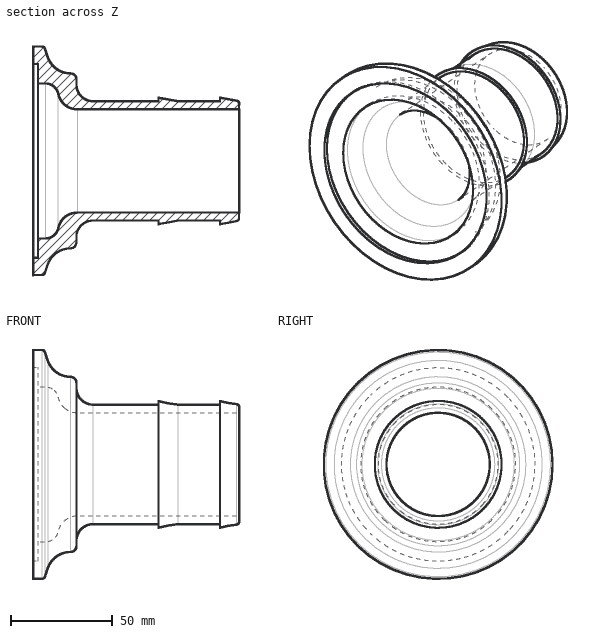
import cadquery as cq
import math


length = 101.6
flange_radius = 112.8 / 2
bore_radius = 50.8 / 2

rim_width = 4.4
rim_fillet = 1.6
cove_radius = 11.7

hub_end = 21.4
hub_radius = 43.2
hub_fillet = 3.0
neck_fillet = 8.0

barrel_radius = 59.0 / 2
barb_radius = 31.2
barb_length = 9.6
first_barb_start = 61.7
tip_fillet = 1.9

recess_radius = 95.3 / 2
recess_depth = 2.4
mouth_radius = 76.2 / 2
mouth_end = 6.2
mouth_fillet = 6.3
throat_fillet = 9.6


def on_circle(center, radius, degrees):
    """Point (x, radial distance) on a circle in the half section."""
    angle = math.radians(degrees)
    return (center[0] + radius * math.cos(angle), center[1] + radius * math.sin(angle))


hub_fillet_center = (hub_end - hub_fillet, hub_radius - hub_fillet)
cove_center = (hub_fillet_center[0], hub_radius + cove_radius)

rim_center = (rim_width, flange_radius - rim_fillet)
cove_run = cove_center[0] - rim_center[0]
cove_rise = cove_center[1] - rim_center[1]
slope_angle = math.degrees(
    math.atan2(cove_rise, cove_run)
    + math.acos((rim_fillet + cove_radius) / math.hypot(cove_run, cove_rise))
)
cove_start_angle = 180 + slope_angle

neck_center = (hub_end + neck_fillet, barrel_radius + neck_fillet)

mouth_center = (mouth_end, mouth_radius - mouth_fillet)
throat_rise = bore_radius + throat_fillet - mouth_center[1]
throat_run = math.sqrt((mouth_fillet + throat_fillet) ** 2 - throat_rise**2)
throat_center = (mouth_end + throat_run, bore_radius + throat_fillet)
tangent_angle = math.degrees(math.atan2(throat_rise, throat_run))


def outer_half_section():
    """Solid half section from the axis to the outside, without the tip fillet."""
    last_barb_start = length - barb_length
    return (
        cq.Workplane("XY")
        .moveTo(0, 0)
        .lineTo(0, flange_radius)
        .lineTo(rim_width, flange_radius)
        .threePointArc(
            on_circle(rim_center, rim_fillet, (90 + slope_angle) / 2),
            on_circle(rim_center, rim_fillet, slope_angle),
        )
        .lineTo(*on_circle(cove_center, cove_radius, cove_start_angle))
        .threePointArc(
            on_circle(cove_center, cove_radius, (cove_start_angle + 270) / 2),
            on_circle(cove_center, cove_radius, 270),
        )
        .threePointArc(
            on_circle(hub_fillet_center, hub_fillet, 45),
            on_circle(hub_fillet_center, hub_fillet, 0),
        )
        .lineTo(hub_end, neck_center[1])
        .threePointArc(
            on_circle(neck_center, neck_fillet, 225),
            on_circle(neck_center, neck_fillet, 270),
        )
        .lineTo(first_barb_start, barrel_radius)
        .lineTo(first_barb_start, barb_radius)
        .lineTo(first_barb_start + barb_length, barrel_radius)
        .lineTo(last_barb_start, barrel_radius)
        .lineTo(last_barb_start, barb_radius)
        .lineTo(length, barrel_radius)
        .lineTo(length, 0)
        .close()
    )


def passage_half_section():
    """Half section of the recess, flared mouth and straight bore."""
    return (
        cq.Workplane("XY")
        .moveTo(0, 0)
        .lineTo(0, recess_radius)
        .lineTo(recess_depth, recess_radius)
        .lineTo(recess_depth, mouth_radius)
        .lineTo(mouth_end, mouth_radius)
        .threePointArc(
            on_circle(mouth_center, mouth_fillet, (90 + tangent_angle) / 2),
            on_circle(mouth_center, mouth_fillet, tangent_angle),
        )
        .threePointArc(
            on_circle(throat_center, throat_fillet, (180 + tangent_angle + 270) / 2),
            on_circle(throat_center, throat_fillet, 270),
        )
        .lineTo(length, bore_radius)
        .lineTo(length, 0)
        .close()
    )


def turned(half_section):
    """Full revolution of a half section about the X axis."""
    return half_section.revolve(360, (0, 0, 0), (1, 0, 0))


body = turned(outer_half_section()).faces(">X").edges().fillet(tip_fillet)
result = body.cut(turned(passage_half_section()))